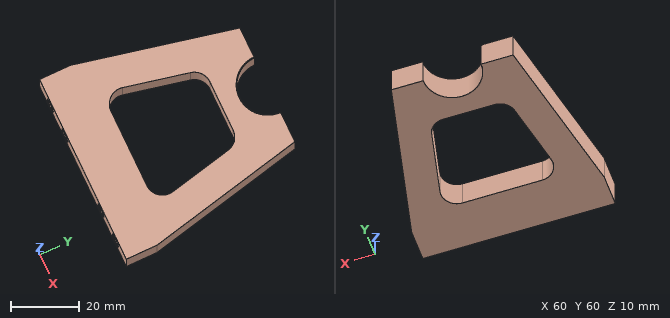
import cadquery as cq
import math

width = 60.0
length = 60.0
thickness = 10.0
front_y = -length / 2
back_y = length / 2

foot_length = 10.0
back_width = 38.0
shoulder_y = front_y + foot_length
side_lean = (width - back_width) / 2 / (back_y - shoulder_y)

side_wall = 10.0
foot_to_window = 15.0
window_length = 30.0
window_front_y = front_y + foot_to_window
window_back_y = window_front_y + window_length
window_corner_radius = 5.0

saddle_radius = 9.0
saddle_chamfer = 0.25

hole_diameter = 4.15
hole_depth = 10.0
drill_point_angle = 118.0
hole_offsets = (12.5, 22.5)


def plate():
    outline = [
        (-width / 2, front_y),
        (width / 2, front_y),
        (width / 2, shoulder_y),
        (back_width / 2, back_y),
        (-back_width / 2, back_y),
        (-width / 2, shoulder_y),
    ]
    return cq.Workplane("XY").polyline(outline).close().extrude(thickness)


def window_half_width(y):
    """Half width of the window at y, leaving a side wall of constant thickness."""
    outer_half_width = width / 2 - side_lean * (y - shoulder_y)
    return outer_half_width - side_wall * math.hypot(1, side_lean)


def window():
    front_half = window_half_width(window_front_y)
    back_half = window_half_width(window_back_y)
    corners = [
        (-front_half, window_front_y),
        (front_half, window_front_y),
        (back_half, window_back_y),
        (-back_half, window_back_y),
    ]
    prism = cq.Workplane("XY").polyline(corners).close().extrude(thickness)
    return prism.edges("|Z").fillet(window_corner_radius)


def saddle():
    """Round cutter centred on the back edge, flaring out at the top to form the chamfer."""
    half_section = [
        (0, 0),
        (saddle_radius, 0),
        (saddle_radius, thickness - saddle_chamfer),
        (saddle_radius + saddle_chamfer, thickness),
        (0, thickness),
    ]
    cutter = cq.Workplane("XZ").polyline(half_section).close().revolve(360, (0, 0, 0), (0, 1, 0))
    return cutter.translate((0, back_y, 0))


def drilled_hole(x):
    """Blind hole running back from the front face, ending in a conical drill point."""
    radius = hole_diameter / 2
    point_length = radius / math.tan(math.radians(drill_point_angle / 2))
    half_section = [
        (0, 0),
        (radius, 0),
        (radius, hole_depth),
        (0, hole_depth + point_length),
    ]
    drill = cq.Workplane("XY").polyline(half_section).close().revolve(360, (0, 0, 0), (0, 1, 0))
    return drill.translate((x, front_y, thickness / 2))


result = plate().cut(window()).cut(saddle())
for offset in hole_offsets:
    for side in (-1, 1):
        result = result.cut(drilled_hole(side * offset))